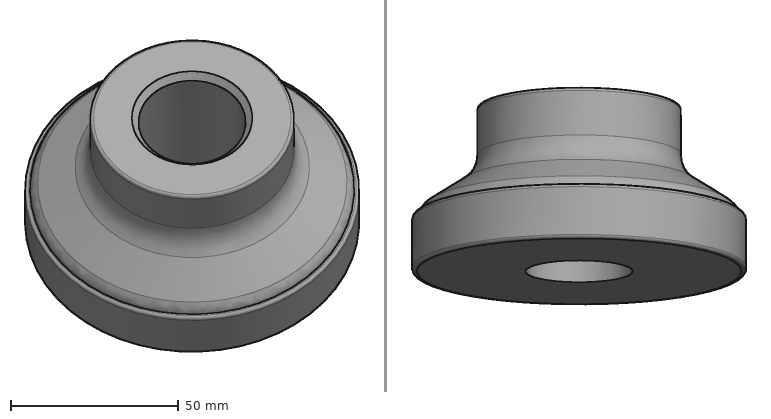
import cadquery as cq

total_height = 50.0
boss_radius = 61.0 / 2
bore_radius = 32.0 / 2
bore_chamfer = 2.0
boss_edge_round = 1.0
cone_top_z = 30.0
cone_bottom_z = 18.2
cone_boss_blend = 10.0
cone_rim_blend = 5.0

tread_radius = 100.0 / 2
tread_thickness = 1.5
tread_width = 16.6
tread_edge_round = 1.0
rim_radius = tread_radius - tread_thickness


def make_hub():
    """Hub with a boss, a conical shoulder, a cylindrical rim and a chamfered bore."""
    profile = [
        (bore_radius, 0),
        (rim_radius, 0),
        (rim_radius, cone_bottom_z),
        (boss_radius, cone_top_z),
        (boss_radius, total_height),
        (bore_radius, total_height),
    ]
    body = cq.Workplane("XZ").polyline(profile).close().revolve(360, (0, 0), (0, 1))

    body = body.edges("%CIRCLE").edges(">>Z[-2]").fillet(cone_boss_blend)
    body = body.edges(cq.selectors.RadiusNthSelector(-1)).edges(">>Z").fillet(cone_rim_blend)
    body = body.faces(">Z").edges(cq.selectors.RadiusNthSelector(-1)).fillet(boss_edge_round)
    return body.faces(">Z").edges(cq.selectors.RadiusNthSelector(0)).chamfer(bore_chamfer)


def make_tread():
    """Ring around the rim with rounded outer edges."""
    ring = cq.Workplane("XY").circle(tread_radius).circle(rim_radius).extrude(tread_width)
    outer_edges = ring.edges(cq.selectors.RadiusNthSelector(-1))
    return outer_edges.fillet(tread_edge_round)


hub = make_hub()
tread = make_tread()

result = cq.Compound.makeCompound([hub.val(), tread.val()])